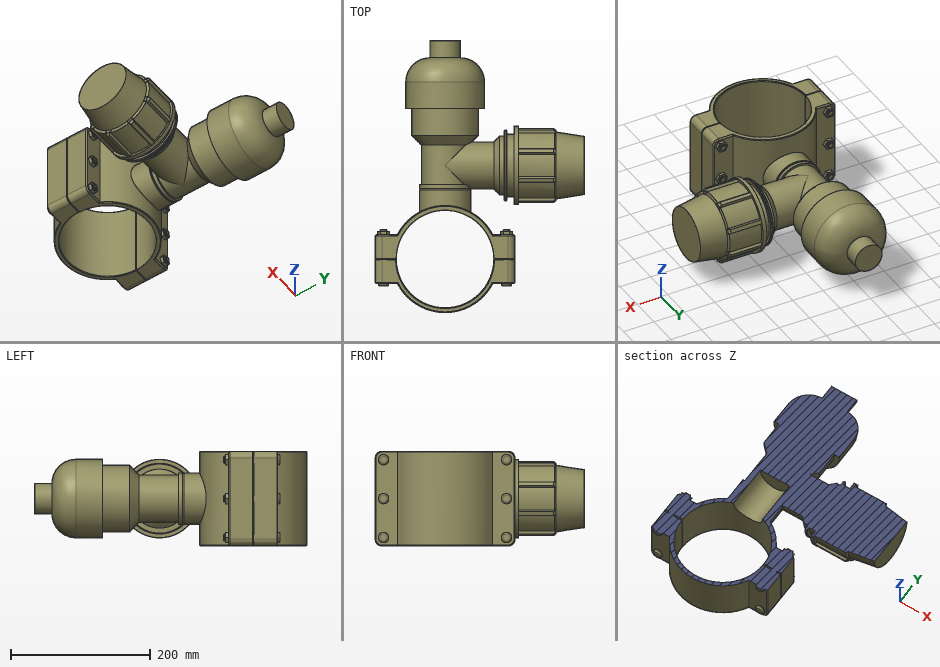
import cadquery as cq
import math


clamp_height = 136.0
clamp_radius = 77.0
bore_radius = 70.0
clamp_edge_chamfer = 1.0
split_gap = 1.5

ear_span = 201.0
ear_reach = 35.0
ear_corner_radius = 9.8
nut_side_chamfer = 2.0
head_side_chamfer = 1.0

bolt_x = 88.5
bolt_pitch = 56.0
shank_dia = 10.0
head_dia = 15.0
head_height = 3.5
nut_flats = 15.0
nut_height = 4.5
shank_stickout = 7.5
shank_tip_chamfer = 1.0

overall_length = 390.7
top_end = overall_length - clamp_radius
spigot_dia = 74.0
groove_depth = 0.8
groove_start = 99.2
groove_end = 101.2
collar_end = 107.0
tee_dia = 68.0
reducer_start = 163.7
reducer_end = 177.8
reducer_dia = 96.5
cap_start = 216.0
cap_dia = 113.5
neck_dia = 43.8
dome_radius = (cap_dia - neck_dia) / 2
dome_start = 254.5
dome_end = dome_start + dome_radius
inlet_dia = 50.0

overall_width = 300.5
branch_y = 134.5
branch_end = overall_width - ear_span / 2
adapter_cone_start = 70.0
adapter_cone_end = 78.5
adapter_dia = 84.8
seal_start = 84.8
seal_end = 89.0
seal_dia = 101.5
seal_chamfer = 1.0
socket_dia = 90.3
flange_start = 99.2
flange_end = 105.5
flange_dia = 113.0
grip_end = 159.0
grip_dia = 104.7
grip_end_taper = 1.5
nose_start_dia = 96.5
nose_end_dia = 83.5

rib_count = 8
rib_tip_width = 6.0
rib_root_width = 8.5
rib_radius = 56.3
rib_root_sink = 0.5
rib_end_chamfer = 3.0


def clamp_half(side):
    """Half of the clamp on the +Y (side = 1) or -Y (side = -1) side of the split."""
    shell = cq.Workplane("XY").circle(clamp_radius).extrude(clamp_height / 2, both=True)
    shell = shell.edges("%CIRCLE").chamfer(clamp_edge_chamfer)

    outer_face = ">Y" if side > 0 else "<Y"
    ear_chamfer = nut_side_chamfer if side > 0 else head_side_chamfer
    ears = (
        cq.Workplane("XZ")
        .rect(ear_span, clamp_height)
        .extrude(-side * ear_reach)
        .edges("|Y")
        .fillet(ear_corner_radius)
        .faces(outer_face)
        .chamfer(ear_chamfer)
    )

    half_space = cq.Workplane("XY").box(ear_span, clamp_radius, clamp_height)
    half_space = half_space.translate((0, side * (clamp_radius + split_gap) / 2, 0))
    return shell.union(ears).intersect(half_space)


def bore():
    """Clamp bore, flared at both ends of its -Y half."""
    straight = cq.Workplane("XY").circle(bore_radius).extrude(clamp_height / 2, both=True)
    mouth_radius = bore_radius + clamp_edge_chamfer
    half_height = clamp_height / 2
    flared = (
        cq.Workplane("XZ")
        .moveTo(0, -half_height)
        .lineTo(mouth_radius, -half_height)
        .lineTo(bore_radius, clamp_edge_chamfer - half_height)
        .lineTo(bore_radius, half_height - clamp_edge_chamfer)
        .lineTo(mouth_radius, half_height)
        .lineTo(0, half_height)
        .close()
        .revolve(180, (0, 0, 0), (0, -1, 0))
    )
    return straight.union(flared)


def bolt(x, z):
    """Bolt through both ears: round head at -Y, hexagon nut at +Y."""
    shank_length = 2 * ear_reach + shank_stickout
    shank = (
        cq.Workplane("XZ", origin=(0, -ear_reach, 0))
        .circle(shank_dia / 2)
        .extrude(-shank_length)
        .faces(">Y")
        .chamfer(shank_tip_chamfer)
    )
    head = (
        cq.Workplane("XZ", origin=(0, -ear_reach, 0))
        .circle(head_dia / 2)
        .extrude(head_height)
        .faces("<Y")
        .edges()
        .fillet((head_dia - shank_dia) / 2)
    )
    nut_corners = nut_flats / math.cos(math.pi / 6)
    nut = cq.Workplane("XZ", origin=(0, ear_reach, 0)).polygon(6, nut_corners).extrude(-nut_height)
    return shank.union(head).union(nut).translate((x, 0, z))


def tee_run():
    """Spigot, collar, tee body, reducer, domed cap and neck turned about the Y axis."""
    spigot = spigot_dia / 2
    groove = spigot - groove_depth
    tee = tee_dia / 2
    reducer = reducer_dia / 2
    cap = cap_dia / 2
    neck = neck_dia / 2
    dome_mid = (
        neck + dome_radius * math.cos(math.pi / 4),
        dome_start + dome_radius * math.sin(math.pi / 4),
    )
    return (
        cq.Workplane("XY")
        .lineTo(spigot, 0)
        .lineTo(spigot, groove_start)
        .lineTo(groove, groove_start)
        .lineTo(groove, groove_end)
        .lineTo(spigot, groove_end)
        .lineTo(spigot, collar_end)
        .lineTo(tee, collar_end)
        .lineTo(tee, reducer_start)
        .lineTo(reducer, reducer_end)
        .lineTo(reducer, cap_start)
        .lineTo(cap, cap_start)
        .lineTo(cap, dome_start)
        .threePointArc(dome_mid, (neck, dome_end))
        .lineTo(neck, top_end)
        .lineTo(0, top_end)
        .close()
        .revolve(360, (0, 0, 0), (0, 1, 0))
    )


def branch():
    """Side outlet, seal ring and compression nut turned about the branch axis along X."""
    profile = (
        cq.Workplane("XY", origin=(0, branch_y, 0))
        .lineTo(0, tee_dia / 2)
        .lineTo(adapter_cone_start, tee_dia / 2)
        .lineTo(adapter_cone_end, adapter_dia / 2)
        .lineTo(seal_start, adapter_dia / 2)
        .lineTo(seal_start, seal_dia / 2 - seal_chamfer)
        .lineTo(seal_start + seal_chamfer, seal_dia / 2)
        .lineTo(seal_end - seal_chamfer, seal_dia / 2)
        .lineTo(seal_end, seal_dia / 2 - seal_chamfer)
        .lineTo(seal_end, socket_dia / 2)
        .lineTo(flange_start, socket_dia / 2)
        .lineTo(flange_start, flange_dia / 2)
        .lineTo(flange_end, flange_dia / 2)
        .lineTo(flange_end, grip_dia / 2)
        .lineTo(grip_end - grip_end_taper, grip_dia / 2)
        .lineTo(grip_end, nose_start_dia / 2)
        .lineTo(branch_end, nose_end_dia / 2)
        .lineTo(branch_end, 0)
        .close()
    )
    return profile.revolve(360, (0, 0, 0), (1, 0, 0))


def grip_rib(angle):
    """Tapered rib along the nut, set at an angle around the branch axis."""
    root_radius = grip_dia / 2 - rib_root_sink
    rib = (
        cq.Workplane("YZ", origin=(flange_end, 0, 0))
        .moveTo(-rib_root_width / 2, 0)
        .lineTo(-rib_root_width / 2, root_radius)
        .lineTo(-rib_tip_width / 2, rib_radius)
        .lineTo(rib_tip_width / 2, rib_radius)
        .lineTo(rib_root_width / 2, root_radius)
        .lineTo(rib_root_width / 2, 0)
        .close()
        .extrude(grip_end - flange_end)
        .faces(">X")
        .edges(">Z")
        .chamfer(rib_end_chamfer)
    )
    return rib.rotate((0, 0, 0), (1, 0, 0), angle).translate((0, branch_y, 0))


tee = tee_run().union(branch())
rib_step = 360 / rib_count
for index in range(rib_count):
    tee = tee.union(grip_rib((index + 0.5) * rib_step))

clamp_bore = bore()
body = clamp_half(1).union(clamp_half(-1)).union(tee.cut(clamp_bore)).cut(clamp_bore)
for x in (-bolt_x, bolt_x):
    for row in (-1, 0, 1):
        body = body.union(bolt(x, row * bolt_pitch))

inlet = cq.Workplane("XZ").circle(inlet_dia / 2).extrude(-branch_y)
result = body.cut(inlet)